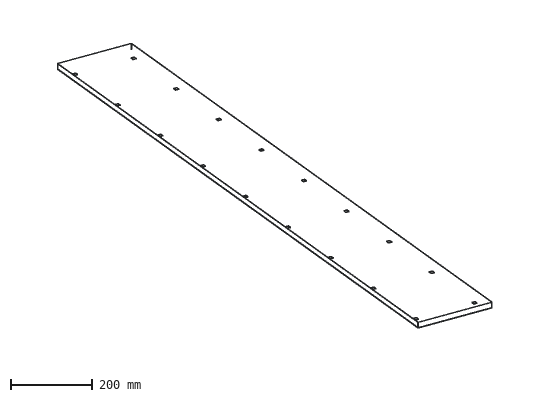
import cadquery as cq

length = 1697
width = 215.0
height = 16.5

sheet = 1.5
inner_bend_radius = 0.3
outer_bend_radius = inner_bend_radius + sheet
corner_relief = outer_bend_radius

hole_side = 9.3
hole_columns = 9
hole_rows = 2
hole_pitch = 200.0
hole_row_spacing = 170


def channel(run, span):
    """U-shaped channel along X: a floor with a wall bent up along each long side.

    run is the length along X and span the width over the outer faces of the walls.
    """
    outside = (
        cq.Workplane("XY")
        .box(run, span, height, centered=(True, True, False))
        .edges("|X and <Z")
        .fillet(outer_bend_radius)
    )
    inside = (
        cq.Workplane("XY")
        .workplane(offset=sheet)
        .box(run, span - 2 * sheet, height, centered=(True, True, False))
        .edges("|X and <Z")
        .fillet(inner_bend_radius)
    )
    return outside.cut(inside)


def wall_pair(run, span):
    """The two bent walls of a channel, without the flat floor between the bends."""
    flat_floor = cq.Workplane("XY").box(run, span - 2 * outer_bend_radius, 2 * height)
    return channel(run, span).cut(flat_floor)


def tray():
    """Flat floor with four bent-up walls that leave each corner open."""
    floor_length = length - 2 * corner_relief
    floor_width = width - 2 * corner_relief
    floor = cq.Workplane("XY").box(floor_length, floor_width, sheet, centered=(True, True, False))
    side_walls = wall_pair(floor_length, width)
    end_walls = wall_pair(floor_width, length).rotate((0, 0, 0), (0, 0, 1), 90)
    return floor.union(side_walls).union(end_walls)


def floor_holes():
    """Rows of square prisms that pass through the floor."""
    return (
        cq.Workplane("XY")
        .rarray(hole_pitch, hole_row_spacing, hole_columns, hole_rows)
        .rect(hole_side, hole_side)
        .extrude(sheet)
    )


result = tray().cut(floor_holes())